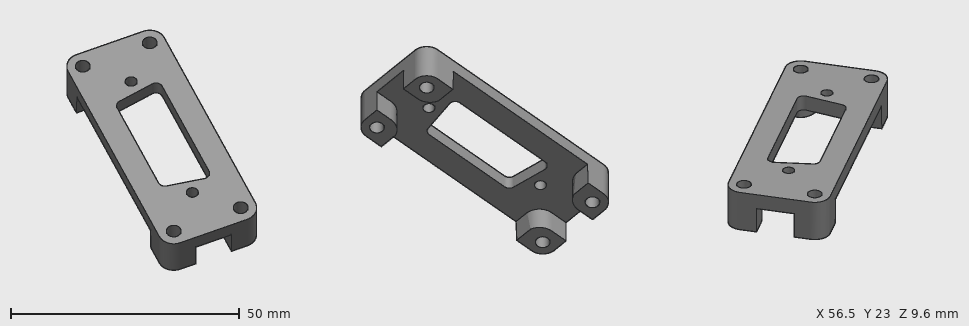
import cadquery as cq
import math

length = 56.5
width = 23.0
height = 9.6
plate_thickness = 3.6
corner_radius = 3.5

leg_height = height - plate_thickness
leg_corner_radius = 4.0
long_gap_top = 40.0
leg_draft_angle = 2.0
long_gap_bottom = long_gap_top + 2 * leg_height * math.tan(math.radians(leg_draft_angle))
cross_gap = 8.5

mount_hole_diameter = 3.2
mount_spacing_x = length - 2 * corner_radius
mount_spacing_y = width - 2 * corner_radius

screw_hole_diameter = 2.6
screw_spacing = 33.3
opening_height = 11.4
opening_wide = 29.0
opening_narrow = 25.0
opening_corner_radius = 1.5


def rounded_block():
    """Full-height block with rounded vertical corners, standing on Z = 0."""
    block = cq.Workplane("XY").box(length, width, height, centered=(True, True, False))
    return block.edges("|Z").fillet(corner_radius)


def channel(size_x, size_y):
    """Box-shaped channel below the plate, centred on the part."""
    return cq.Workplane("XY").box(size_x, size_y, leg_height, centered=(True, True, False))


def leg_space():
    """Cross-shaped space between the four legs, leaving their inner corners rounded."""
    cross = channel(long_gap_top, width).union(channel(length, cross_gap))
    inner_corners = cq.selectors.BoxSelector(
        (-length / 2 + corner_radius, -width / 2 + corner_radius, 0),
        (length / 2 - corner_radius, width / 2 - corner_radius, leg_height),
    )
    return cross.edges("|Z").edges(inner_corners).fillet(leg_corner_radius)


def leg_draft_cut():
    """Channel across the width that widens downward and tapers the facing sides of the legs."""
    return (
        cq.Workplane("XZ")
        .polyline([
            (-long_gap_bottom / 2, 0),
            (long_gap_bottom / 2, 0),
            (long_gap_top / 2, leg_height),
            (-long_gap_top / 2, leg_height),
        ])
        .close()
        .extrude(width / 2, both=True)
    )


def through_holes(points, diameter):
    """Cylinders through the full height at the given points."""
    return cq.Workplane("XY").pushPoints(points).circle(diameter / 2).extrude(height)


def connector_opening():
    """D-shaped (trapezoid) opening with rounded corners, wide side toward +Y."""
    return (
        cq.Workplane("XY")
        .polyline([
            (-opening_narrow / 2, -opening_height / 2),
            (opening_narrow / 2, -opening_height / 2),
            (opening_wide / 2, opening_height / 2),
            (-opening_wide / 2, opening_height / 2),
        ])
        .close()
        .extrude(height)
        .edges("|Z")
        .fillet(opening_corner_radius)
    )


mount_points = [
    (side_x * mount_spacing_x / 2, side_y * mount_spacing_y / 2)
    for side_x in (-1, 1)
    for side_y in (-1, 1)
]
screw_points = [(side * screw_spacing / 2, 0) for side in (-1, 1)]

result = (
    rounded_block()
    .cut(leg_space())
    .cut(leg_draft_cut())
    .cut(through_holes(mount_points, mount_hole_diameter))
    .cut(through_holes(screw_points, screw_hole_diameter))
    .cut(connector_opening())
)